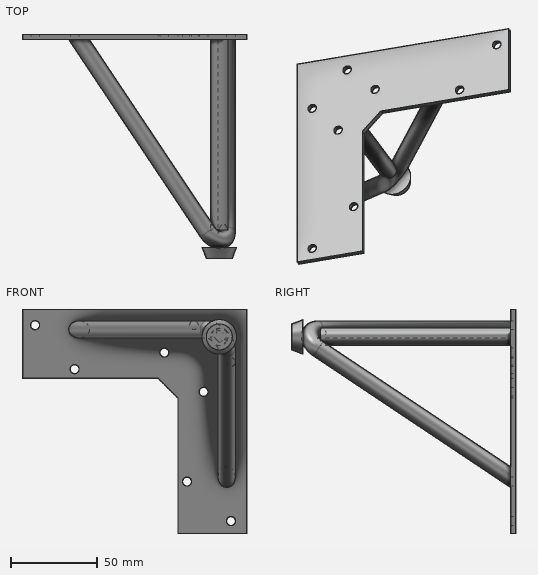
import cadquery as cq
import math


side = 130.0
arm_width = 40.0
plate_thickness = 3.1
corner_chamfer = 11.5
hole_diameter = 5.1
arm_holes = [(122.7, 9.2), (99.8, 34.7), (47.8, 25.1), (30.7, 9.2)]

overall_depth = 130.0
foot_length = 6.5
foot_base_diameter = 20.0
foot_tip_diameter = 15.1
axis_inset = 16.0

rod_diameter = 10.0
post_end_depth = 113.4
brace_inset = 11.7
brace_reach = 97.2
brace_apex_depth = 131.3
bend_radius = 8.6

foot_base_depth = overall_depth - foot_length
rod_radius = rod_diameter / 2


def outward_plane(depth):
    """Plane parallel to the plate with its normal toward -Y; local x is X, local y is Z."""
    return cq.Workplane("XZ", origin=(0, -depth, 0))


def make_plate():
    chamfer_start = arm_width + corner_chamfer
    outline = [
        (0, 0),
        (-side, 0),
        (-side, -arm_width),
        (-chamfer_start, -arm_width),
        (-arm_width, -chamfer_start),
        (-arm_width, -side),
        (0, -side),
    ]
    holes = []
    for along, across in arm_holes:
        holes.append((-along, -across))
        holes.append((-across, -along))
    blank = outward_plane(0).polyline(outline).close().extrude(plate_thickness)
    drills = outward_plane(0).pushPoints(holes).circle(hole_diameter / 2).extrude(plate_thickness)
    return blank.cut(drills)


def make_brace():
    """One rod bent into a V, with both legs ending flat on the plate's front face."""
    apex = cq.Vector(-brace_inset, -brace_apex_depth, -brace_inset)
    slope = (brace_reach - brace_inset) / (brace_apex_depth - plate_thickness)
    back_reach = brace_inset + slope * brace_apex_depth
    side_end = cq.Vector(-back_reach, 0, -brace_inset)
    lower_end = cq.Vector(-brace_inset, 0, -back_reach)

    side_direction = (side_end - apex).normalized()
    lower_direction = (lower_end - apex).normalized()
    bisector = (side_direction + lower_direction).normalized()
    half_angle = side_direction.getAngle(lower_direction) / 2
    tangent_length = bend_radius / math.tan(half_angle)
    bend_middle_offset = bend_radius / math.sin(half_angle) - bend_radius

    bend_start = apex + side_direction * tangent_length
    bend_middle = apex + bisector * bend_middle_offset
    bend_end = apex + lower_direction * tangent_length

    path = (
        cq.Workplane("XY")
        .add(
            cq.Wire.assembleEdges(
                [
                    cq.Edge.makeLine(side_end, bend_start),
                    cq.Edge.makeThreePointArc(bend_start, bend_middle, bend_end),
                    cq.Edge.makeLine(bend_end, lower_end),
                ]
            )
        )
    )
    section = cq.Workplane(cq.Plane(origin=side_end, normal=side_direction * -1))
    rod = section.circle(rod_radius).sweep(path)
    trim_size = 3 * side
    trim = outward_plane(plate_thickness).rect(trim_size, trim_size).extrude(-side)
    return rod.cut(trim)


def make_post(brace):
    """Straight rod square to the plate, notched where the brace crosses its end."""
    post_length = post_end_depth - plate_thickness
    post = (
        outward_plane(plate_thickness)
        .center(-axis_inset, -axis_inset)
        .circle(rod_radius)
        .extrude(post_length)
    )
    return post.cut(brace)


def make_foot(brace):
    """Tapered foot with a shallow seat for the bend of the brace."""
    foot = (
        outward_plane(foot_base_depth)
        .center(-axis_inset, -axis_inset)
        .circle(foot_base_diameter / 2)
        .workplane(offset=foot_length)
        .circle(foot_tip_diameter / 2)
        .loft()
    )
    return foot.cut(brace)


plate = make_plate()
brace = make_brace()
post = make_post(brace)
foot = make_foot(brace)

result = cq.Compound.makeCompound([plate.val(), brace.val(), post.val(), foot.val()])